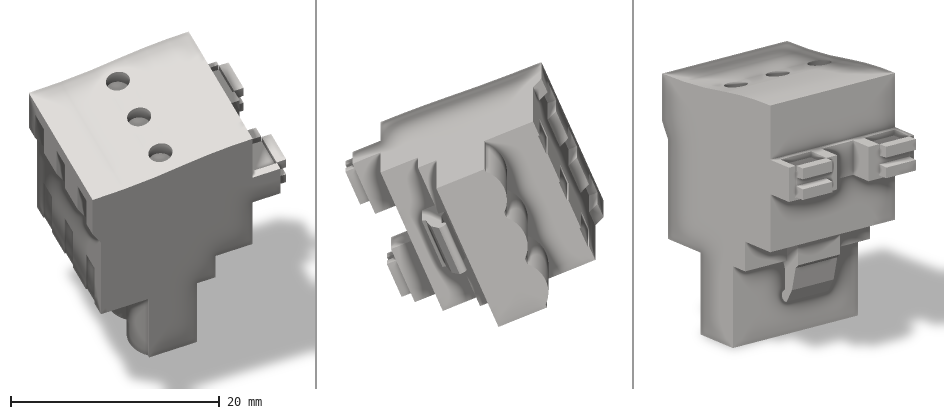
import cadquery as cq
import math


pole_count = 3
housing_width = 15.25
pole_pitch = housing_width / pole_count
pole_centers = [(i - (pole_count - 1) / 2) * pole_pitch for i in range(pole_count)]

head_front_y = 0.0
body_front_y = 0.87
plug_front_y = 5.9
curve_join_y = 9.85
plug_back_y = 10.95
step_y = 12.85
body_back_y = 16.75
recess_front_y = 17.27
wing_back_y = 19.65
latch_back_y = 20.65

body_bottom_z = 8.32
step_z = 11.34
wing_bottom_z = 17.25
ledge_bottom_z = 18.47
ledge_top_z = 20.0
wing_top_z = 20.73
head_front_z = 24.88
crest_z = 26.25
curve_join_z = 25.72

barrel_chord = 4.5
barrel_bulge = 0.97

upper_slot_width = 2.1
upper_slot_top_z = 23.3
lower_slot_width = 2.02
lower_slot_top_z = 13.33
lower_slot_depth = 0.13

screw_hole_diameter = 2.3
screw_hole_y = 8.2
screw_hole_floor_z = 24.15

latch_width = 3.62
latch_side_gap = 0.08
latch_offset = -0.15
latch_centers = [pole_centers[0] + latch_offset, pole_centers[-1] + latch_offset]
latch_bottom_z = 17.53
latch_floor_z = 20.15
prong_gap_root = (18.68, 19.55)
prong_gap_tip = (18.6, 19.63)

notch_side_wall = 1.35
notch_left_x = latch_centers[0] + latch_width / 2 + notch_side_wall
notch_right_x = latch_centers[-1] - latch_width / 2 - notch_side_wall

hook_width = pole_pitch
hook_back_y = 14.62
hook_shoulder = (14.22, 7.92)
hook_bend = (13.65, 5.5)
hook_tip_back = (12.83, 4.12)
hook_tip_middle = (12.2, 4.28)
hook_tip_front = (12.25, 5.05)
hook_throat_bottom = (12.57, 5.33)
hook_throat_top = (12.57, 7.4)
hook_root_front_y = 12.2


def block(x_range, y_range, z_range):
    """Box between two places along each axis."""
    sizes = [high - low for low, high in (x_range, y_range, z_range)]
    corner = (x_range[0], y_range[0], z_range[0])
    return cq.Workplane("XY").box(*sizes, centered=False).translate(corner)


def centered_range(center, width):
    return (center - width / 2, center + width / 2)


def level_arc_middle(level_end, other_end):
    """Middle point of the arc that is level (parallel to Y) at its first end."""
    dy = other_end[0] - level_end[0]
    dz = other_end[1] - level_end[1]
    radius = (dy**2 + dz**2) / (2 * abs(dz))
    half_angle = math.asin(abs(dy) / radius) / 2
    return (
        level_end[0] + math.copysign(radius * math.sin(half_angle), dy),
        level_end[1] + math.copysign(radius * (1 - math.cos(half_angle)), dz),
    )


def extrude_across(outline, width):
    """Extrude a closed YZ outline to a width centred on X = 0."""
    return outline.extrude(width / 2, both=True)


def housing_shell():
    """Main block: curved top, slanted ledge under the head, stepped back, plug slab and wings."""
    back_edge = (body_back_y, crest_z)
    join = (curve_join_y, curve_join_z)
    front_edge = (head_front_y, head_front_z)
    outline = (
        cq.Workplane("YZ")
        .moveTo(*back_edge)
        .threePointArc(level_arc_middle(back_edge, join), join)
        .threePointArc(level_arc_middle(front_edge, join), front_edge)
        .lineTo(head_front_y, ledge_top_z)
        .lineTo(body_front_y, ledge_bottom_z)
        .lineTo(body_front_y, body_bottom_z)
        .lineTo(plug_front_y, body_bottom_z)
        .lineTo(plug_front_y, 0)
        .lineTo(plug_back_y, 0)
        .lineTo(plug_back_y, body_bottom_z)
        .lineTo(step_y, body_bottom_z)
        .lineTo(step_y, step_z)
        .lineTo(body_back_y, step_z)
        .lineTo(body_back_y, wing_bottom_z)
        .lineTo(wing_back_y, wing_bottom_z)
        .lineTo(wing_back_y, wing_top_z)
        .lineTo(body_back_y, wing_top_z)
        .close()
    )
    return extrude_across(outline, housing_width)


def barrel(x):
    """Rounded rib standing on the front face of the plug slab."""
    return (
        cq.Workplane("XY")
        .moveTo(x - barrel_chord / 2, plug_front_y)
        .threePointArc((x, plug_front_y - barrel_bulge), (x + barrel_chord / 2, plug_front_y))
        .close()
        .extrude(body_bottom_z)
    )


def locking_hook():
    """Hook filling the step at the back and hanging below it."""
    outline = (
        cq.Workplane("YZ")
        .moveTo(step_y, step_z)
        .lineTo(hook_back_y, step_z)
        .lineTo(hook_back_y, body_bottom_z)
        .lineTo(*hook_shoulder)
        .lineTo(*hook_bend)
        .lineTo(*hook_tip_back)
        .threePointArc(hook_tip_middle, hook_tip_front)
        .lineTo(*hook_throat_bottom)
        .lineTo(*hook_throat_top)
        .lineTo(hook_root_front_y, body_bottom_z)
        .lineTo(step_y, body_bottom_z)
        .close()
    )
    return extrude_across(outline, hook_width)


def upper_slot(x):
    """Slot through the head down to the front face of the body."""
    slot_x = centered_range(x, upper_slot_width)
    return block(slot_x, (head_front_y, body_front_y), (ledge_bottom_z, upper_slot_top_z))


def lower_slot(x):
    """Shallow slot open at the bottom of the body."""
    slot_x = centered_range(x, lower_slot_width)
    slot_y = (body_front_y, body_front_y + lower_slot_depth)
    return block(slot_x, slot_y, (body_bottom_z, lower_slot_top_z))


def screw_hole(x):
    return (
        cq.Workplane("XY", origin=(x, screw_hole_y, screw_hole_floor_z))
        .circle(screw_hole_diameter / 2)
        .extrude(crest_z - screw_hole_floor_z)
    )


def latch_pocket(x):
    """Pocket in a wing, open at the top and the back, with a small gap beside the latch."""
    pocket_x = centered_range(x, latch_width + 2 * latch_side_gap)
    return block(pocket_x, (recess_front_y, wing_back_y), (latch_bottom_z, wing_top_z))


def make_housing():
    body = housing_shell().union(locking_hook())
    for x in pole_centers:
        body = body.union(barrel(x))
        body = body.cut(upper_slot(x)).cut(lower_slot(x)).cut(screw_hole(x))
    notch_x = (notch_left_x, notch_right_x)
    body = body.cut(block(notch_x, (recess_front_y, wing_back_y), (wing_bottom_z, wing_top_z)))
    for x in latch_centers:
        body = body.cut(latch_pocket(x))
    return body


def make_latch(x):
    """Latch lying in a wing pocket, with two prongs behind the wing."""
    outline = (
        cq.Workplane("YZ")
        .moveTo(recess_front_y, latch_bottom_z)
        .lineTo(latch_back_y, latch_bottom_z)
        .lineTo(latch_back_y, prong_gap_tip[0])
        .lineTo(wing_back_y, prong_gap_root[0])
        .lineTo(wing_back_y, prong_gap_root[1])
        .lineTo(latch_back_y, prong_gap_tip[1])
        .lineTo(latch_back_y, wing_top_z)
        .lineTo(wing_back_y, wing_top_z)
        .lineTo(wing_back_y, latch_floor_z)
        .lineTo(recess_front_y, latch_floor_z)
        .close()
    )
    return extrude_across(outline, latch_width).translate((x, 0, 0))


housing = make_housing()
latches = [make_latch(x) for x in latch_centers]

result = cq.Compound.makeCompound([housing.solids().val(), *[latch.val() for latch in latches]])